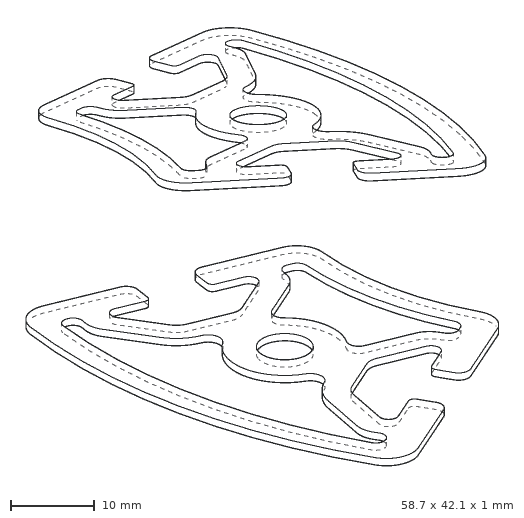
import cadquery as cq
import math

thickness = 1.0
half_angle = math.radians(22.5)
hub_distance = 60.0
outer_radius = 80.0
inner_radius = 40.0
rim_width = 3.5
hub_radius = 7.5
bore_diameter = 6.8

hook_width = 4.7
window_inset = 4.35
window_end_width = 2.9
hook_gap = 8.0
notch_depth = 12.25

upper_arm_top = 2.05
upper_arm_bottom = -1.4
lower_arm_outer = -7.85
lower_arm_inner = -4.2

top_corner_radius = 4.0
bottom_corner_radius = 3.65
window_end_radius = 1.3
arm_root_radius = 3.5
upper_valley_radius = 1.75
lower_valley_radius = 1.45
notch_bend_radius = 2.95
notch_waist_radius = 2.35
notch_top_radius = 1.25
notch_bottom_radius = 1.25
hook_outer_radius = 1.5
hook_inner_radius = 0.75

sin_a = math.sin(half_angle)
cos_a = math.cos(half_angle)
window_outer_radius = outer_radius - rim_width
window_inner_radius = inner_radius + rim_width

UPPER_NORMAL = (sin_a, cos_a)
LOWER_NORMAL = (cos_a, -sin_a)


def side_line(inset):
    """Line parallel to the left sector side, moved inward."""
    return (cos_a, sin_a, inset - hub_distance * sin_a)


def cross_line(distance):
    """Line square to the left sector side, at a distance from the sector centre."""
    return (-sin_a, cos_a, distance - hub_distance * cos_a)


def meet(first, second):
    """Intersection point of two lines."""
    a, b, d = first
    e, f, g = second
    determinant = a * f - b * e
    return ((d * f - b * g) / determinant, (a * g - d * e) / determinant)


def on_arc(radius, inset):
    """Point on a sector arc at the given inset from the left side."""
    return meet(side_line(inset), cross_line(math.sqrt(radius**2 - inset**2)))


def toward(start, end, distance):
    """Point at a distance from start in the direction of end."""
    step = distance / math.dist(start, end)
    return (start[0] + step * (end[0] - start[0]), start[1] + step * (end[1] - start[1]))


def mirrored(point):
    return (-point[0], point[1])


def round_corners(body, corners):
    """Fillet the upright edge at each (point, radius) corner and at its mirror image."""
    for point, radius in corners:
        for x, y in (point, mirrored(point)):
            edge = cq.selectors.NearestToPointSelector((x, y, thickness / 2))
            body = body.edges("|Z").edges(edge).fillet(radius)
    return body


def make_sector():
    top_corner = on_arc(outer_radius, 0)
    bottom_corner = on_arc(inner_radius, 0)
    body = (
        cq.Workplane("XY")
        .moveTo(*top_corner)
        .threePointArc((0, outer_radius - hub_distance), mirrored(top_corner))
        .lineTo(*mirrored(bottom_corner))
        .threePointArc((0, inner_radius - hub_distance), bottom_corner)
        .close()
        .extrude(thickness)
    )
    return round_corners(body, [(top_corner, top_corner_radius), (bottom_corner, bottom_corner_radius)])


upper_arm_bottom_line = (*UPPER_NORMAL, upper_arm_bottom)
lower_arm_outer_line = (*LOWER_NORMAL, lower_arm_outer)


def make_upper_window():
    bend_center = meet(
        (*UPPER_NORMAL, upper_arm_bottom - notch_bend_radius),
        side_line(notch_depth - notch_bend_radius),
    )
    bend_radius = notch_bend_radius + upper_arm_top - upper_arm_bottom
    bend_start = (bend_center[0] + bend_radius * sin_a, bend_center[1] + bend_radius * cos_a)

    hub_reach = hub_radius + upper_valley_radius
    bend_reach = bend_radius + upper_valley_radius
    spacing = math.hypot(*bend_center)
    along = (hub_reach**2 - bend_reach**2 + spacing**2) / (2 * spacing)
    across = math.sqrt(hub_reach**2 - along**2)
    unit_x = bend_center[0] / spacing
    unit_y = bend_center[1] / spacing
    valley_center = (along * unit_x + across * unit_y, along * unit_y - across * unit_x)
    valley_bottom = (valley_center[0], valley_center[1] - upper_valley_radius)
    bend_end = toward(bend_center, valley_center, bend_radius)
    bend_chord_middle = ((bend_start[0] + bend_end[0]) / 2, (bend_start[1] + bend_end[1]) / 2)
    bend_middle = toward(bend_center, bend_chord_middle, bend_radius)
    hub_start = toward((0, 0), valley_center, hub_radius)

    end_line = cross_line(window_outer_radius - window_end_width)
    arm_root = meet((*UPPER_NORMAL, upper_arm_top), end_line)
    end_bottom = meet(side_line(window_inset), end_line)
    end_top = on_arc(window_outer_radius, window_inset)
    body = (
        cq.Workplane("XY")
        .moveTo(*end_top)
        .lineTo(*end_bottom)
        .lineTo(*arm_root)
        .lineTo(*bend_start)
        .threePointArc(bend_middle, bend_end)
        .threePointArc(valley_bottom, hub_start)
        .threePointArc((0, hub_radius), mirrored(hub_start))
        .threePointArc(mirrored(valley_bottom), mirrored(bend_end))
        .threePointArc(mirrored(bend_middle), mirrored(bend_start))
        .lineTo(*mirrored(arm_root))
        .lineTo(*mirrored(end_bottom))
        .lineTo(*mirrored(end_top))
        .threePointArc((0, window_outer_radius - hub_distance), end_top)
        .close()
        .extrude(thickness)
    )
    corners = [
        (end_top, window_end_radius),
        (end_bottom, window_end_radius),
        (arm_root, arm_root_radius),
    ]
    return round_corners(body, corners)


def make_lower_window():
    chord_half = math.sqrt(hub_radius**2 - lower_arm_inner**2)
    hub_start = meet((*LOWER_NORMAL, lower_arm_inner), (*UPPER_NORMAL, -chord_half))
    end_line = cross_line(window_inner_radius + window_end_width)
    arm_root = meet((*LOWER_NORMAL, lower_arm_inner), end_line)
    end_top = meet(side_line(window_inset), end_line)
    end_bottom = on_arc(window_inner_radius, window_inset)
    body = (
        cq.Workplane("XY")
        .moveTo(*end_bottom)
        .lineTo(*end_top)
        .lineTo(*arm_root)
        .lineTo(*hub_start)
        .threePointArc((0, -hub_radius), mirrored(hub_start))
        .lineTo(*mirrored(arm_root))
        .lineTo(*mirrored(end_top))
        .lineTo(*mirrored(end_bottom))
        .threePointArc((0, window_inner_radius - hub_distance), end_bottom)
        .close()
        .extrude(thickness)
    )
    corners = [
        (hub_start, lower_valley_radius),
        (arm_root, arm_root_radius),
        (end_top, window_end_radius),
        (end_bottom, window_end_radius),
    ]
    return round_corners(body, corners)


def cut_side_notches(body):
    """Cut the notch behind the left hooks and the gap between their tips, and mirror both."""
    top = meet(side_line(hook_width), upper_arm_bottom_line)
    bend = meet(side_line(notch_depth), upper_arm_bottom_line)
    waist = meet(side_line(notch_depth), lower_arm_outer_line)
    bottom = meet(side_line(hook_width), lower_arm_outer_line)
    notch = cq.Workplane("XY").polyline([top, bend, waist, bottom]).close().extrude(thickness)

    upper_tip_radius = hub_distance + hook_gap / 2
    lower_tip_radius = hub_distance - hook_gap / 2
    ring = (
        cq.Workplane("XY")
        .center(0, -hub_distance)
        .circle(upper_tip_radius)
        .circle(lower_tip_radius)
        .extrude(thickness)
    )
    strip_corners = [
        meet(side_line(inset), cross_line(distance))
        for inset, distance in (
            (-hook_width, inner_radius),
            (-hook_width, outer_radius),
            (hook_width, outer_radius),
            (hook_width, inner_radius),
        )
    ]
    strip = cq.Workplane("XY").polyline(strip_corners).close().extrude(thickness)
    cutter = notch.union(ring.intersect(strip))
    body = body.cut(cutter).cut(cutter.mirror("YZ"))
    corners = [
        (top, notch_top_radius),
        (bend, notch_bend_radius),
        (waist, notch_waist_radius),
        (bottom, notch_bottom_radius),
    ]
    for tip_radius in (upper_tip_radius, lower_tip_radius):
        corners.append((on_arc(tip_radius, 0), hook_outer_radius))
        corners.append((on_arc(tip_radius, hook_width), hook_inner_radius))
    return round_corners(body, corners)


bore = cq.Workplane("XY").circle(bore_diameter / 2).extrude(thickness)

plate = cut_side_notches(make_sector())
result = plate.cut(make_upper_window()).cut(make_lower_window()).cut(bore)